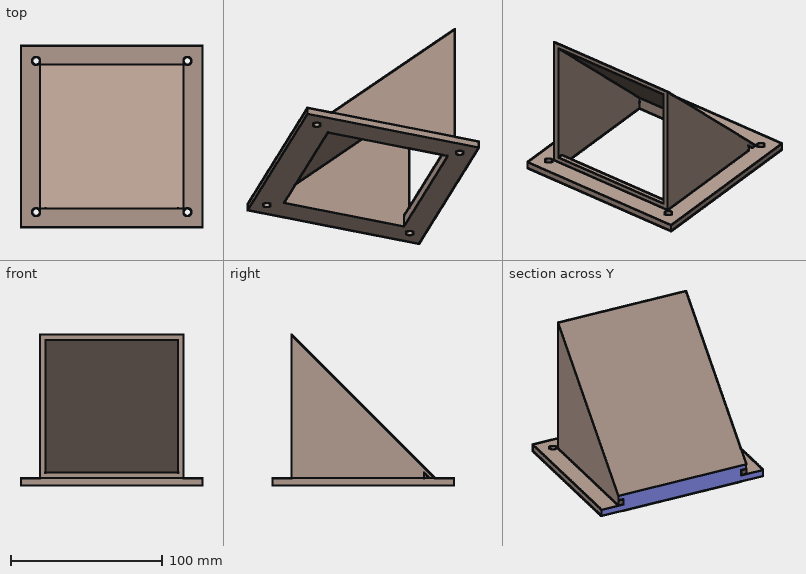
import cadquery as cq

plate_side = 120.0
plate_thickness = 4.9
total_height = 100.0
hole_diameter = 5.0
hole_spacing = 100.0

hood_side = total_height - plate_thickness
wall = 3.7

front_y = -hood_side / 2
toe_y = hood_side / 2
inner_width = hood_side - 2 * wall
inner_front_y = front_y + wall
inner_toe_y = toe_y - 2 * wall
sill_z = plate_thickness + wall


def side_profile_solid(points, width, center_x=0.0):
    """Extrude a (Y, Z) outline along X, centred on center_x."""
    start_x = center_x - width / 2
    return cq.Workplane("YZ", origin=(start_x, 0, 0)).polyline(points).close().extrude(width)


def make_plate():
    plate = cq.Workplane("XY").box(plate_side, plate_side, plate_thickness, centered=(True, True, False))
    return (
        plate.faces(">Z")
        .workplane()
        .rect(hole_spacing, hole_spacing, forConstruction=True)
        .vertices()
        .hole(hole_diameter)
    )


def make_hood():
    return side_profile_solid(
        [(front_y, plate_thickness), (toe_y, plate_thickness), (front_y, total_height)],
        hood_side,
    )


def make_cavity():
    """Space under the roof, leaving a sill one wall high above the plate."""
    return side_profile_solid(
        [(front_y, sill_z), (inner_toe_y, sill_z), (front_y, total_height - wall)],
        inner_width,
    )


def make_base_opening():
    """Passage from the cavity down through the plate."""
    opening_length = inner_toe_y - inner_front_y
    center_y = (inner_toe_y + inner_front_y) / 2
    return (
        cq.Workplane("XY")
        .center(0, center_y)
        .rect(inner_width, opening_length)
        .extrude(sill_z)
    )


def make_toe_notch(side):
    """Triangular notch under the roof toe, one wall deep into a side wall."""
    return side_profile_solid(
        [
            (toe_y - wall, plate_thickness),
            (inner_toe_y, plate_thickness),
            (inner_toe_y, sill_z),
        ],
        wall,
        side * (hood_side - wall) / 2,
    )


result = make_plate().union(make_hood()).cut(make_cavity()).cut(make_base_opening())
for side in (-1, 1):
    result = result.cut(make_toe_notch(side))